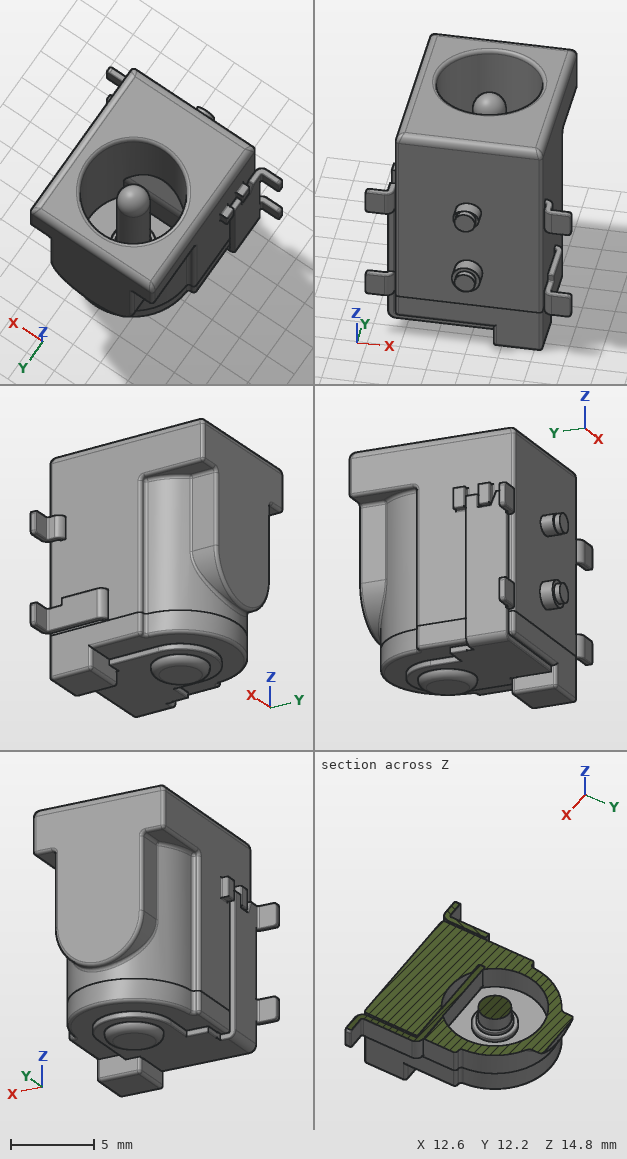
import cadquery as cq

total_height = 14.8
body_width = 9.0
body_depth = 11.0
half_width = body_width / 2
terminal_span = 12.6
cover_top = 2.89
cover_bottom = 1.4
edge_radius = 0.2
top_radius = 0.5
overlap = 0.15
selection_margin = 0.15

bore_y = 6.5
barrel_radius = 4.03
shoulder_y = 6.54
ledge_z = 11.84
rib_radius = 3.0
rib_center_z = 6.81
rib_root_limit_y = body_depth - 2 * edge_radius

bore_radius = 3.2
bore_lip_radius = 0.24

foot_left = 1.5
foot_depth = 3.0

peg_base_length = 0.83
peg_length = 1.2
peg_tip_radius = 0.62
peg_base_radius = 0.86
oval_peg_half_width = 0.78
lower_peg_z = 5.33
upper_peg_z = 9.8

boss_width = 0.74
boss_height = 1.3
boss_z = 10.51
boss_ys = (1.8, 3.46)
boss_edge_radius = 0.06

sheet = 0.4
wall_gap = 0.1
bend_inner = wall_gap
bend_mid = bend_inner + sheet / 2
sheet_x = half_width + wall_gap + sheet / 2
solder_width = 1.51
solder_corner = 0.2
lower_solder_z = 2.96
upper_solder_z = 9.03
strip_start_y = bend_mid
sheet_edge_radius = 0.06

bracket_depth = 3.0
bracket_top = upper_solder_z + solder_width
notch_bottom = 9.71
notch_low_y = 1.38
notch_high_y = 2.23
notch_slope_y = 1.0
pad_radius = 2.5
neck_y = 4.5
neck_left = 4.0

pin_radius = 1.0
pin_top = 13.8
shoulder_radius = 1.12
flange_radius = 1.4
flange_height = 0.3
shoulder_height = 0.59
pin_edge_radius = 0.06
rivet_radius = 1.79
rivet_bottom = 0.47
rivet_edge_radius = 0.49

spring_front_y = 4.23
strip_top = 4.95
leaf_half_width = 2.5
leaf_bend_z = 6.51
leaf_top_z = 8.58
leaf_tip_y = 2.96
leaf_crest_radius = 1.33
switch_front_y = 1.2
switch_reach = 2.0


def slab(x0, x1, y0, y1, z0, z1):
    return cq.Workplane("XY").box(x1 - x0, y1 - y0, z1 - z0, centered=False).translate((x0, y0, z0))


def cylinder_z(radius, y, z0, z1):
    return cq.Workplane("XY").workplane(offset=z0).center(0, y).circle(radius).extrude(z1 - z0)


def lower_body(z0, z1):
    """Square front half with a barrel behind it."""
    front = slab(-half_width, half_width, 0, shoulder_y, z0, z1)
    return front.union(cylinder_z(barrel_radius, bore_y, z0, z1))


def blend_sides(body, z0):
    """Round the inner corners behind the shoulders, then the outer edges of the side walls."""
    inside = cq.selectors.BoxSelector(
        (-half_width + selection_margin, shoulder_y - selection_margin, z0 + selection_margin),
        (half_width - selection_margin, rib_root_limit_y, ledge_z + selection_margin),
    )
    body = body.edges(inside).fillet(edge_radius)
    return body.faces("<X or >X or >Y").edges("not(<Z or >Z)").fillet(edge_radius)


def back_rib():
    """Rib with a half-round lower end, reaching the back plane of the mouth block."""
    return (
        cq.Workplane("XZ", origin=(0, bore_y, 0))
        .moveTo(-rib_radius, ledge_z)
        .lineTo(-rib_radius, rib_center_z)
        .threePointArc((0, rib_center_z - rib_radius), (rib_radius, rib_center_z))
        .lineTo(rib_radius, ledge_z)
        .close()
        .extrude(bore_y - body_depth)
    )


def outer_shell():
    """Housing without its bore: slim lower part, rib and the full-size mouth block on top."""
    mouth_block = slab(-half_width, half_width, 0, body_depth, ledge_z, total_height)
    shell = lower_body(cover_top, ledge_z).union(back_rib()).union(mouth_block)
    shell = blend_sides(shell, cover_top)
    return shell.faces(">Z").edges().fillet(top_radius)


def add_wall_boss(body, y):
    """Add a small block on the left wall, flush with the outer face of the bracket."""
    outer_x = half_width + wall_gap + sheet
    y0 = y - boss_width / 2
    y1 = y + boss_width / 2
    z0 = boss_z - boss_height / 2
    z1 = boss_z + boss_height / 2
    boss = slab(-outer_x, -half_width + overlap, y0, y1, z0, z1)
    body = body.union(boss.faces("<X").edges().fillet(boss_edge_radius))
    root = cq.selectors.BoxSelector(
        (-half_width - boss_edge_radius, y0 - boss_edge_radius, z0 - boss_edge_radius),
        (-half_width + boss_edge_radius, y1 + boss_edge_radius, z1 + boss_edge_radius),
    )
    return body.edges(root).fillet(boss_edge_radius)


def peg_plane(z):
    return cq.Workplane("XZ", origin=(0, overlap, z))


def pegs():
    """Two stepped pegs on the front face; the upper one has an oval base."""
    base_length = peg_base_length + overlap
    round_base = peg_plane(lower_peg_z).circle(peg_base_radius).extrude(base_length)
    oval_base = peg_plane(upper_peg_z).ellipse(oval_peg_half_width, peg_tip_radius).extrude(base_length)
    both = round_base.union(oval_base)
    for z in (lower_peg_z, upper_peg_z):
        both = both.union(peg_plane(z).circle(peg_tip_radius).extrude(peg_length + overlap))
    return both


def make_housing():
    body = outer_shell().cut(cylinder_z(bore_radius, bore_y, cover_top, total_height))
    body = body.faces(">Z").edges("%CIRCLE").fillet(bore_lip_radius)
    for y in boss_ys:
        body = add_wall_boss(body, y)
    return body.union(pegs())


def make_cover():
    base = lower_body(cover_bottom, cover_top)
    base = base.edges("|Z").fillet(edge_radius).faces("<Z").edges().fillet(edge_radius)
    foot = slab(foot_left, half_width, 0, foot_depth, 0, cover_top)
    foot = foot.edges("|Z").fillet(edge_radius).faces("<Z").edges().fillet(edge_radius)
    return base.union(foot).cut(cylinder_z(pin_radius, bore_y, 0, cover_top))


def make_pin():
    """Round-ended pin with a stepped flange on the cover and a rivet head under the bracket."""
    ball_z = pin_top - pin_radius
    shank = cylinder_z(pin_radius, bore_y, rivet_bottom, ball_z)
    tip = cq.Workplane("XY").sphere(pin_radius).translate((0, bore_y, ball_z))
    flange = cylinder_z(flange_radius, bore_y, cover_top, cover_top + flange_height)
    shoulder = cylinder_z(shoulder_radius, bore_y, cover_top, cover_top + shoulder_height)
    rivet = cylinder_z(rivet_radius, bore_y, rivet_bottom, cover_bottom - sheet)
    return (
        shank.union(tip)
        .union(flange.faces(">Z").edges().fillet(pin_edge_radius))
        .union(shoulder.faces(">Z").edges().fillet(pin_edge_radius))
        .union(rivet.faces("<Z").edges().fillet(rivet_edge_radius))
    )


def solder_foot(z0, start_y):
    """Strip running down the right wall from start_y and bent outward to a rounded foot."""
    path = (
        cq.Workplane("XY")
        .moveTo(sheet_x, start_y)
        .lineTo(sheet_x, bend_mid)
        .tangentArcPoint((bend_mid, -bend_mid))
        .lineTo(terminal_span / 2, 0)
    )
    foot = (
        cq.Workplane("XZ", origin=(sheet_x, start_y, z0 + solder_width / 2))
        .rect(sheet, solder_width)
        .sweep(path)
    )
    return foot.faces(">X").edges("|Y").fillet(solder_corner)


def wall_strip(z0, z1, x_start, front_y, end_y):
    """Strip coming out of the right wall below front_y and bent down to end_y."""
    mid_y = front_y - sheet / 2
    path = (
        cq.Workplane("XY")
        .moveTo(x_start, mid_y)
        .lineTo(sheet_x - bend_mid, mid_y)
        .tangentArcPoint((bend_mid, -bend_mid))
        .lineTo(sheet_x, end_y)
    )
    return (
        cq.Workplane("YZ", origin=(x_start, mid_y, (z0 + z1) / 2))
        .rect(sheet, z1 - z0)
        .sweep(path)
    )


def pin_pad():
    """Flat pad around the rivet, with a wider neck overlapping the bracket plate."""
    plate_z = cover_bottom - sheet
    pad = cylinder_z(pad_radius, bore_y, plate_z, cover_bottom)
    pad = pad.union(slab(-pad_radius, pad_radius, neck_y, bore_y, plate_z, cover_bottom))
    pad = pad.union(slab(-neck_left, pad_radius, bracket_depth, neck_y, plate_z, cover_bottom))
    pad = pad.faces("<Z or >Z").edges().fillet(sheet_edge_radius)
    bridge = slab(-neck_left, foot_left, bracket_depth - sheet, bracket_depth + sheet, plate_z, cover_bottom)
    return pad.union(bridge)


def make_bracket():
    """Angle strip on the left wall and under the cover, with two feet and a pad for the pin."""
    mid_z = cover_bottom - sheet / 2
    path = (
        cq.Workplane("XZ")
        .moveTo(-sheet_x, bracket_top)
        .lineTo(-sheet_x, mid_z + bend_mid)
        .tangentArcPoint((bend_mid, -bend_mid))
        .lineTo(foot_left, mid_z)
    )
    strip_depth = bracket_depth - strip_start_y
    strip = (
        cq.Workplane("XY", origin=(-sheet_x, strip_start_y + strip_depth / 2, bracket_top))
        .rect(sheet, strip_depth)
        .sweep(path)
    )
    notch = (
        cq.Workplane("YZ", origin=(-sheet_x - sheet, 0, 0))
        .moveTo(notch_high_y, bracket_top)
        .lineTo(notch_high_y, notch_bottom)
        .lineTo(notch_low_y, notch_bottom)
        .lineTo(notch_slope_y, bracket_top)
        .close()
        .extrude(2 * sheet)
    )
    bracket = strip.cut(notch).edges().fillet(sheet_edge_radius).union(pin_pad())
    for z in (lower_solder_z, upper_solder_z):
        foot = solder_foot(z, strip_start_y + sheet).edges().fillet(sheet_edge_radius)
        bracket = bracket.union(foot.mirror("YZ"))
    return bracket.cut(cylinder_z(pin_radius, bore_y, 0, cover_top))


def spring_leaf():
    """Leaf along the bottom of the bore whose upper end leans back into the bore wall."""
    back_y = spring_front_y - sheet
    leaf = (
        cq.Workplane("YZ", origin=(-leaf_half_width, 0, 0))
        .moveTo(back_y, lower_solder_z)
        .lineTo(spring_front_y, lower_solder_z)
        .lineTo(spring_front_y, leaf_bend_z)
        .lineTo(leaf_tip_y, leaf_top_z)
        .lineTo(leaf_tip_y - sheet, leaf_top_z)
        .lineTo(back_y, leaf_bend_z)
        .close()
        .extrude(2 * leaf_half_width)
    )
    return leaf.edges("|X and >Y").edges(">Z").fillet(leaf_crest_radius)


def make_spring():
    """Leaf spring with a strip out of the right wall and a foot below it."""
    strip = wall_strip(lower_solder_z, strip_top, 0, spring_front_y, switch_front_y)
    spring = spring_leaf().union(strip).union(solder_foot(lower_solder_z, switch_front_y + overlap))
    return spring.edges().fillet(sheet_edge_radius)


def make_switch_contact():
    """Short strip anchored in the right wall and bent into the upper right foot."""
    top = upper_solder_z + solder_width
    strip = wall_strip(upper_solder_z, top, half_width - switch_reach, switch_front_y, strip_start_y)
    return strip.union(solder_foot(upper_solder_z, strip_start_y + overlap)).edges().fillet(sheet_edge_radius)


pin = make_pin()
bracket = make_bracket()
spring = make_spring()
switch_contact = make_switch_contact()
cover = make_cover()
housing = make_housing().cut(spring).cut(switch_contact)

result = cq.Compound.makeCompound(
    [housing.val(), cover.val(), pin.val(), bracket.val(), spring.val(), switch_contact.val()]
)